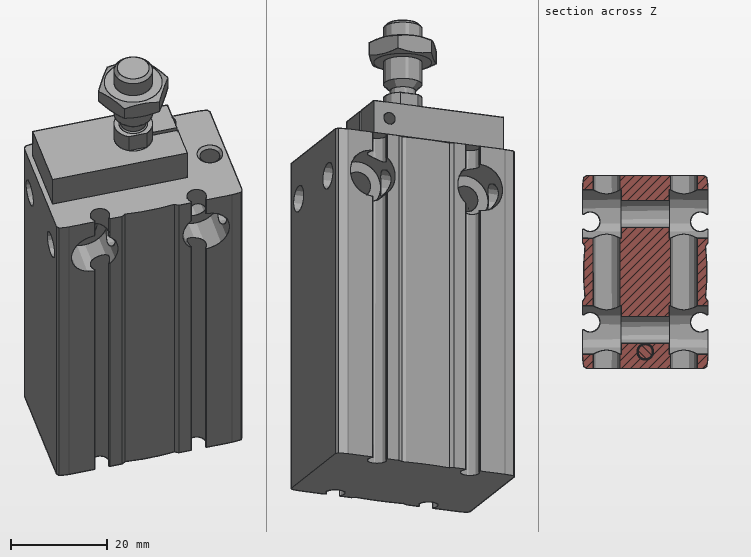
import cadquery as cq
import math

housing_width = 26.0
housing_depth = 40.0
housing_height = 71.0
half_width = housing_width / 2
half_depth = housing_depth / 2

flank_start = 17.5
flank_lean = 0.25
flank_bulge = 0.04
corner_chamfer_x = 0.65
corner_chamfer_y = 0.4

recess_half_length = 6.1
recess_slope_length = 0.8
recess_depth = 0.5
recess_bulge = 0.3

slot_y = 10.4
slot_diameter = 4.0
slot_mouth = 2.8
slot_axis_inset = 1.6
slot_lip_chamfer = 0.3

mount_z = housing_height - 9.0
mount_diameter = 5.5
side_mount_y = 12.0
front_mount_x = 8.0
counterbore_diameter = 10.0
counterbore_depth = 8.0

port_y = 16.5
port_diameter = 4.1
port_mouth_diameter = 5.3
port_depth = 6.0
port_tip_angle = 118.0

rod_diameter = 8.0
rod_flats = 7.0
shoulder_z = 84.0
collar_diameter = 5.9
neck_diameter = 5.3
collar_height = (collar_diameter - neck_diameter) / 2
thread_start_z = 87.0
thread_lead_in = (rod_diameter - neck_diameter) / 2
rod_top_z = 100.0
rod_tip_diameter = 6.6
rod_tip_chamfer = (rod_diameter - rod_tip_diameter) / 2

plate_width = 15.0
plate_back_y = 9.5
plate_front_y = -19.5
plate_bottom_z = 73.0
plate_top_z = 80.0
slit_width = 0.8
clamp_hole_diameter = 2.5
clamp_hole_y = 6.0
clamp_hole_depth = 5.0

guide_diameter = 3.0
guide_y = -16.5
guide_depth = 10.0
guide_bore_diameter = 3.4
guide_mouth_diameter = 4.5

nut_across_flats = 13.0
nut_bottom_z = 91.8
nut_thickness = 4.1
nut_face_diameter = 12.0
nut_chamfer_angle = 25.0


def cylinder_z(diameter, bottom, top, y=0.0):
    """Upright cylinder on the plane x = 0, from z = bottom to z = top."""
    return cq.Workplane("XY", origin=(0, y, bottom)).circle(diameter / 2).extrude(top - bottom)


def make_housing_block():
    flank_x = half_width - flank_lean
    recess_x = half_width - recess_depth
    floor_end = recess_half_length - recess_slope_length
    floor_x = recess_x + recess_bulge
    corner_y = half_depth - corner_chamfer_y
    top_x = flank_x - corner_chamfer_x
    bulge_x = half_width - flank_lean / 2 + flank_bulge
    bulge_y = (flank_start + corner_y) / 2
    return (
        cq.Workplane("XY")
        .moveTo(-top_x, -half_depth)
        .lineTo(top_x, -half_depth)
        .lineTo(flank_x, -corner_y)
        .threePointArc((bulge_x, -bulge_y), (half_width, -flank_start))
        .lineTo(half_width, -recess_half_length)
        .lineTo(recess_x, -floor_end)
        .threePointArc((floor_x, 0), (recess_x, floor_end))
        .lineTo(half_width, recess_half_length)
        .lineTo(half_width, flank_start)
        .threePointArc((bulge_x, bulge_y), (flank_x, corner_y))
        .lineTo(top_x, half_depth)
        .lineTo(-top_x, half_depth)
        .lineTo(-flank_x, corner_y)
        .threePointArc((-bulge_x, bulge_y), (-half_width, flank_start))
        .lineTo(-half_width, recess_half_length)
        .lineTo(-recess_x, floor_end)
        .threePointArc((-floor_x, 0), (-recess_x, -floor_end))
        .lineTo(-half_width, -recess_half_length)
        .lineTo(-half_width, -flank_start)
        .threePointArc((-bulge_x, -bulge_y), (-flank_x, -corner_y))
        .close()
        .extrude(housing_height)
    )


def make_sensor_slot():
    """Cutter for a slot that opens toward +X, with its channel on the Z axis."""
    half_mouth = slot_mouth / 2
    lip_x = slot_axis_inset - slot_lip_chamfer
    lip_y = half_mouth + slot_lip_chamfer
    channel = cylinder_z(slot_diameter, 0, housing_height)
    opening = (
        cq.Workplane("XY")
        .polyline(
            [
                (0, -half_mouth),
                (lip_x, -half_mouth),
                (slot_axis_inset, -lip_y),
                (slot_axis_inset, lip_y),
                (lip_x, half_mouth),
                (0, half_mouth),
            ]
        )
        .close()
        .extrude(housing_height)
    )
    return channel.union(opening)


def cut_sensor_slots(block):
    right_slot = make_sensor_slot().translate((half_width - slot_axis_inset, 0, 0))
    for slot in (right_slot, right_slot.mirror("YZ")):
        for place_y in (-slot_y, slot_y):
            block = block.cut(slot.translate((0, place_y, 0)))
    return block


def cut_mounting_holes(block):
    front_holes = (
        cq.Workplane("XZ", origin=(0, half_depth, mount_z))
        .pushPoints([(-front_mount_x, 0), (front_mount_x, 0)])
        .circle(mount_diameter / 2)
        .extrude(housing_depth)
    )
    side_points = [(-side_mount_y, 0), (side_mount_y, 0)]
    side_holes = (
        cq.Workplane("YZ", origin=(-half_width, 0, mount_z))
        .pushPoints(side_points)
        .circle(mount_diameter / 2)
        .extrude(housing_width)
    )
    block = block.cut(front_holes).cut(side_holes)
    for face_x in (-half_width, half_width - counterbore_depth):
        counterbores = (
            cq.Workplane("YZ", origin=(face_x, 0, mount_z))
            .pushPoints(side_points)
            .circle(counterbore_diameter / 2)
            .extrude(counterbore_depth)
        )
        block = block.cut(counterbores)
    return block


def make_top_bore(diameter, mouth_diameter, depth, tip_height, place_y):
    """Cutter for a blind bore in the top face with a 45 degree mouth and an optional conical tip."""
    radius = diameter / 2
    mouth_radius = mouth_diameter / 2
    return (
        cq.Workplane("XZ", origin=(0, place_y, housing_height))
        .moveTo(0, -depth - tip_height)
        .lineTo(0, 0)
        .lineTo(mouth_radius, 0)
        .lineTo(radius, radius - mouth_radius)
        .lineTo(radius, -depth)
        .close()
        .revolve(360, (0, 0, 0), (0, 1, 0))
    )


def cut_air_port(block):
    tip_height = port_diameter / 2 / math.tan(math.radians(port_tip_angle / 2))
    return block.cut(make_top_bore(port_diameter, port_mouth_diameter, port_depth, tip_height, port_y))


def cut_guide_bore(block):
    return block.cut(make_top_bore(guide_bore_diameter, guide_mouth_diameter, guide_depth, 0, guide_y))


def make_housing():
    block = make_housing_block()
    block = cut_sensor_slots(block)
    block = cut_mounting_holes(block)
    block = cut_air_port(block)
    return cut_guide_bore(block)


def make_rod():
    radius = rod_diameter / 2
    neck_radius = neck_diameter / 2
    rod = (
        cq.Workplane("XZ")
        .moveTo(0, housing_height)
        .lineTo(radius, housing_height)
        .lineTo(radius, shoulder_z)
        .lineTo(collar_diameter / 2, shoulder_z)
        .lineTo(neck_radius, shoulder_z + collar_height)
        .lineTo(neck_radius, thread_start_z - thread_lead_in)
        .lineTo(radius, thread_start_z)
        .lineTo(radius, rod_top_z - rod_tip_chamfer)
        .lineTo(rod_tip_diameter / 2, rod_top_z)
        .lineTo(0, rod_top_z)
        .close()
        .revolve(360, (0, 0, 0), (0, 1, 0))
    )
    flats_height = shoulder_z - plate_top_z
    flats_keep = cq.Workplane("XY").rect(rod_flats, rod_diameter).extrude(flats_height)
    flats_ring = cq.Workplane("XY").circle(rod_diameter).extrude(flats_height).cut(flats_keep)
    return rod.cut(flats_ring.translate((0, 0, plate_top_z)))


def make_plate():
    length = plate_back_y - plate_front_y
    middle_y = (plate_back_y + plate_front_y) / 2
    thickness = plate_top_z - plate_bottom_z
    plate = (
        cq.Workplane("XY", origin=(0, middle_y, plate_bottom_z))
        .rect(plate_width, length)
        .extrude(thickness)
    )
    rod_bore = cylinder_z(rod_diameter, plate_bottom_z, plate_top_z)
    slit = (
        cq.Workplane("XY", origin=(0, plate_back_y / 2, plate_bottom_z))
        .rect(slit_width, plate_back_y)
        .extrude(thickness)
    )
    clamp_hole = (
        cq.Workplane("YZ", origin=(-plate_width / 2, 0, 0))
        .center(clamp_hole_y, plate_bottom_z + thickness / 2)
        .circle(clamp_hole_diameter / 2)
        .extrude(clamp_hole_depth)
    )
    return plate.cut(rod_bore).cut(slit).cut(clamp_hole)


def make_guide_pin():
    return cylinder_z(guide_diameter, housing_height - guide_depth, plate_bottom_z, guide_y)


def make_nut():
    nut_top_z = nut_bottom_z + nut_thickness
    across_corners = nut_across_flats / math.cos(math.radians(30))
    hexagon = (
        cq.Workplane("XY", origin=(0, 0, nut_bottom_z))
        .polygon(6, across_corners)
        .extrude(nut_thickness)
        .rotate((0, 0, 0), (0, 0, 1), 30)
    )
    face_radius = nut_face_diameter / 2
    corner_radius = across_corners / 2
    bevel = (corner_radius - face_radius) * math.tan(math.radians(nut_chamfer_angle))
    bevel_envelope = (
        cq.Workplane("XZ")
        .moveTo(0, nut_bottom_z)
        .lineTo(face_radius, nut_bottom_z)
        .lineTo(corner_radius, nut_bottom_z + bevel)
        .lineTo(corner_radius, nut_top_z - bevel)
        .lineTo(face_radius, nut_top_z)
        .lineTo(0, nut_top_z)
        .close()
        .revolve(360, (0, 0, 0), (0, 1, 0))
    )
    return hexagon.intersect(bevel_envelope).cut(cylinder_z(rod_diameter, nut_bottom_z, nut_top_z))


housing = make_housing()
rod = make_rod()
plate = make_plate()
guide_pin = make_guide_pin()
nut = make_nut()

result = cq.Compound.makeCompound([housing.val(), rod.val(), plate.val(), guide_pin.val(), nut.val()])